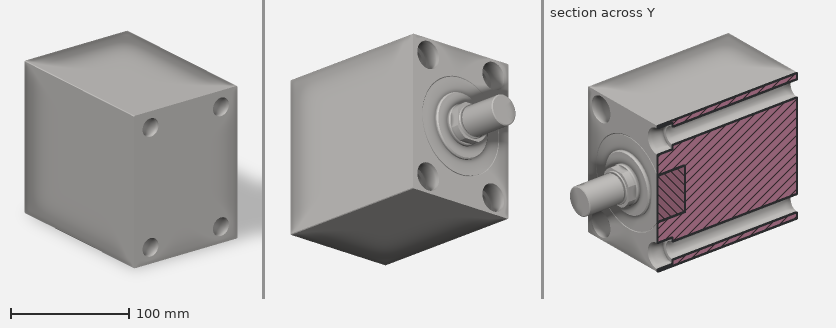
import cadquery as cq

overall_length = 207.0
block_width = 110.0
block_height = 140.0
block_length = 153.0
block_edge_chamfer = 0.6

hole_spacing_y = 75.0
hole_spacing_z = 110.0
hole_diameter = 17.0
counterbore_diameter = 25.0
counterbore_depth = 16.5

gland_diameter = 87.0
gland_depth = 30.0
gland_bore_chamfer = 0.8
boss_diameter = 59.0
boss_height = 3.0
boss_chamfer = 1.0

wiper_diameter = 39.3
wiper_depth = 6.2

rod_diameter = 36.8
rod_protrusion = 6.2
rod_chamfer_length = 1.0
flats_diameter = 35.6
flats_width = 32.7
flats_length = 7.9
step_diameter = 29.8
step_chamfer = 0.6
step_length = 0.8
neck_diameter = 25.0
neck_length = 1.2
stud_diameter = 27.5
stud_chamfer_depth = 1.0
stud_chamfer_length = 0.6

tip_x = -overall_length / 2
back_x = overall_length / 2
face_x = back_x - block_length
boss_x = face_x - boss_height
gland_back_x = face_x + gland_depth
wiper_back_x = boss_x + wiper_depth
shoulder_x = face_x - rod_protrusion
flats_x = shoulder_x - flats_length
step_x = flats_x - step_length
stud_end_x = step_x - neck_length


def disc(diameter, start_x, end_x):
    """Cylinder on the rod axis from start_x to end_x."""
    return cq.Workplane("YZ", origin=(start_x, 0, 0)).circle(diameter / 2).extrude(end_x - start_x)


def turn(profile):
    """Solid of revolution about the rod axis from (x, radius) points."""
    return cq.Workplane("XY").polyline(profile).close().revolve(360, (0, 0, 0), (1, 0, 0))


def make_block():
    """Cylinder block with four mounting holes and a blind bore for the gland."""
    block = (
        cq.Workplane("XY")
        .box(block_length, block_width, block_height)
        .translate((back_x - block_length / 2, 0, 0))
        .edges("|X")
        .chamfer(block_edge_chamfer)
    )
    block = (
        block.faces("<X")
        .workplane(centerOption="CenterOfBoundBox")
        .rect(hole_spacing_y, hole_spacing_z, forConstruction=True)
        .vertices()
        .cboreHole(hole_diameter, counterbore_diameter, counterbore_depth)
    )
    bore_radius = gland_diameter / 2
    profile = [
        (face_x, 0),
        (face_x, bore_radius + gland_bore_chamfer),
        (face_x + gland_bore_chamfer, bore_radius),
        (gland_back_x, bore_radius),
        (gland_back_x, 0),
    ]
    return block.cut(turn(profile))


def make_gland():
    """Gland plug and boss, bored for the rod and recessed for the wiper ring."""
    plug = disc(gland_diameter, face_x, gland_back_x)
    boss = disc(boss_diameter, boss_x, face_x).faces("<X").chamfer(boss_chamfer)
    rod_bore = disc(rod_diameter, boss_x, gland_back_x)
    wiper_recess = disc(wiper_diameter, boss_x, wiper_back_x)
    return plug.union(boss).cut(rod_bore).cut(wiper_recess)


def make_wiper():
    """Plain ring filling the recess in the gland."""
    return disc(wiper_diameter, boss_x, wiper_back_x).cut(disc(rod_diameter, boss_x, wiper_back_x))


def make_rod():
    """Turned rod with four wrench flats behind the stud."""
    stud_chamfer_radius = stud_diameter / 2 - stud_chamfer_depth
    profile = [
        (tip_x, 0),
        (tip_x, stud_chamfer_radius),
        (tip_x + stud_chamfer_length, stud_diameter / 2),
        (stud_end_x - stud_chamfer_length, stud_diameter / 2),
        (stud_end_x, neck_diameter / 2),
        (step_x, neck_diameter / 2),
        (step_x, step_diameter / 2 - step_chamfer),
        (flats_x, step_diameter / 2),
        (flats_x, flats_diameter / 2),
        (shoulder_x, flats_diameter / 2),
        (shoulder_x + rod_chamfer_length, rod_diameter / 2),
        (gland_back_x, rod_diameter / 2),
        (gland_back_x, 0),
    ]
    square = cq.Workplane("YZ", origin=(flats_x, 0, 0)).rect(flats_width, flats_width).extrude(flats_length)
    flats_cutter = disc(rod_diameter, flats_x, shoulder_x).cut(square)
    return turn(profile).cut(flats_cutter)


block = make_block()
gland = make_gland()
wiper = make_wiper()
rod = make_rod()
result = cq.Compound.makeCompound([block.val(), gland.val(), wiper.val(), rod.val()])